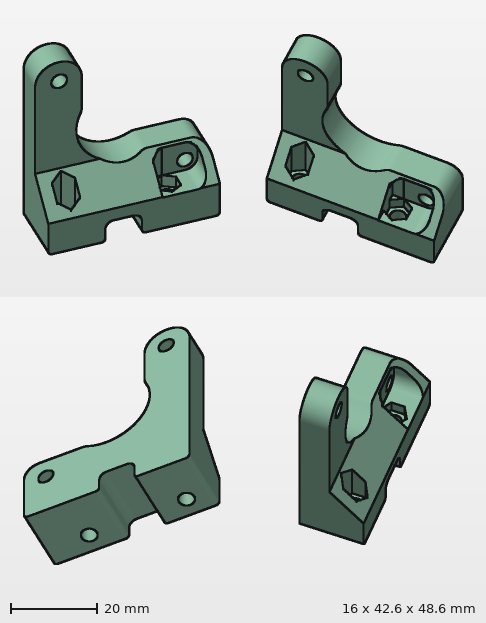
import cadquery as cq
import math

width = 16.0
length = 42.6
height = 48.6

wall_thickness = 7.5
post_length = 11.6
post_radius = 5.7
arm_height = 17.65
arm_radius = 4.0
foot_radius = 1.0

hole_diameter = 3.9
hole_spacing = 31.0
front_hole_y = 6.0
lower_hole_z = 12.0
saddle_y = front_hole_y + hole_spacing / 2
saddle_z = lower_hole_z + hole_spacing / 2
saddle_radius = 11.25
saddle_blend = 4.0

notch_front = 14.2
notch_back = 23.25
notch_height = 5.7
notch_radius = 2.0

bolt_x = 11.28
bolt_ys = (6.2, 31.25)
nut_flats = 5.75
nut_corners = nut_flats / math.cos(math.pi / 6)
nut_floor = 5.85

pocket_start = 8.0
pocket_front = bolt_ys[1] - nut_flats / 2
pocket_back = 40.1
pocket_floor = 9.0
pocket_top = 17.05
pocket_radius = 3.1

overlap = 0.5


def edge_at(y, z):
    """Select the X-direction edge passing through a YZ point."""
    return cq.selectors.BoxSelector((-overlap, y - 0.05, z - 0.05), (width + overlap, y + 0.05, z + 0.05))


def block(x_range, y_range, z_range):
    """Make a box from its limits along each axis."""
    sizes = [high - low for low, high in (x_range, y_range, z_range)]
    corner = (x_range[0], y_range[0], z_range[0])
    return cq.Workplane("XY").box(*sizes, centered=False).translate(corner)


def round_edges(body, points, radius):
    """Fillet the X-direction edges at several YZ points."""
    for y, z in points:
        body = body.edges("|X").edges(edge_at(y, z)).fillet(radius)
    return body


def make_bracket():
    """Extrude the L outline, cut the saddle into its inner corner and round the edges."""
    outline = [
        (0, 0), (notch_front, 0), (notch_front, notch_height), (notch_back, notch_height),
        (notch_back, 0), (length, 0), (length, arm_height), (saddle_y, arm_height),
        (post_length, saddle_z), (post_length, height), (0, height),
    ]
    body = cq.Workplane("YZ").polyline(outline).close().extrude(width)
    saddle = cq.Workplane("YZ").center(saddle_y, saddle_z).circle(saddle_radius).extrude(width)
    body = body.cut(saddle)

    arm_meet = saddle_y + math.sqrt(saddle_radius**2 - (saddle_z - arm_height)**2)
    post_meet = saddle_z + math.sqrt(saddle_radius**2 - (saddle_y - post_length)**2)
    body = round_edges(body, [(arm_meet, arm_height), (post_length, post_meet)], saddle_blend)
    body = round_edges(body, [(0, height), (post_length, height)], post_radius)
    body = round_edges(body, [(length, arm_height)], arm_radius)
    body = round_edges(body, [(y, 0) for y in (0, notch_front, notch_back, length)], foot_radius)
    return round_edges(body, [(y, notch_height) for y in (notch_front, notch_back)], notch_radius)


def make_slope_cutter():
    """Remove everything above the 45 degree slope outside the upright wall."""
    slope_bottom = arm_height - (width - wall_thickness)
    outline = [
        (wall_thickness, arm_height), (width, slope_bottom),
        (width, height), (wall_thickness, height),
    ]
    return cq.Workplane("XZ").polyline(outline).close().extrude(-length)


def make_pocket():
    """Pocket open at +X, square only at its lower front corner."""
    pocket = block(
        (pocket_start, width + overlap), (pocket_front, pocket_back), (pocket_floor, pocket_top)
    )
    corners = [(pocket_back, pocket_floor), (pocket_back, pocket_top), (pocket_front, pocket_top)]
    return round_edges(pocket, corners, pocket_radius)


bracket = make_bracket().cut(make_slope_cutter()).cut(make_pocket())

pivot_points = [
    (front_hole_y, lower_hole_z + hole_spacing),
    (front_hole_y + hole_spacing, lower_hole_z),
]
pivot_holes = cq.Workplane("YZ").pushPoints(pivot_points).circle(hole_diameter / 2).extrude(width)

bolt_points = [(bolt_x, y) for y in bolt_ys]
bolt_holes = cq.Workplane("XY").pushPoints(bolt_points).circle(hole_diameter / 2).extrude(height)
nut_recesses = (
    cq.Workplane("XY").workplane(offset=nut_floor)
    .pushPoints(bolt_points).polygon(6, nut_corners).extrude(arm_height - nut_floor)
)

result = bracket.cut(pivot_holes).cut(bolt_holes).cut(nut_recesses)